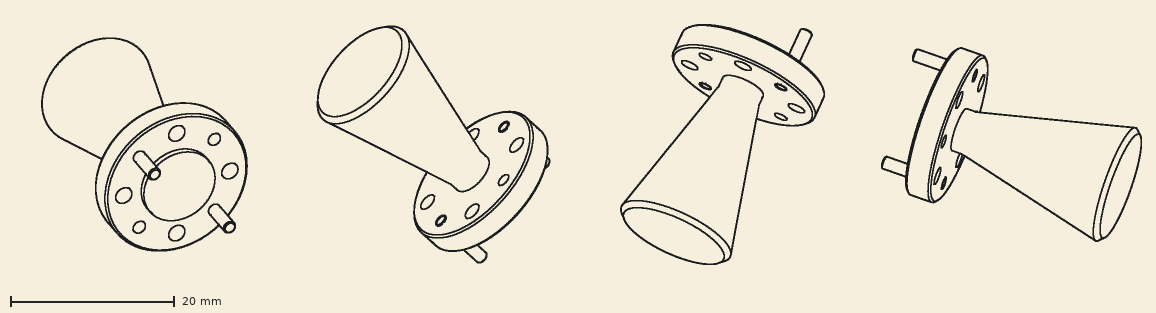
import cadquery as cq
import math

total_length = 29.27
neck_start = 20.02
flange_start = 21.3
flange_thickness = 3.3
boss_height = 0.8

cone_face_radius = 6.73
cone_rim_radius = 7.35
cone_rim_depth = 0.65
neck_radius = 2.72
flange_diameter = 19.05
flange_radius = flange_diameter / 2
flange_chamfer = 0.25
boss_radius = 4.77

pitch_radius = 7.1
bolt_hole_radius = 1.08
open_hole_radius = 0.82
pin_radius = 0.8
pin_chamfer = 0.15
bolt_angles = [0, 90, 180, 270]
pin_angles = [135, 315]
open_hole_angles = [45, 225]

flange_end = flange_start + flange_thickness


def pitch_point(angle):
    """(Y, Z) position on the pitch circle, with the angle taken from +Y toward +Z."""
    radians = math.radians(angle)
    return (pitch_radius * math.cos(radians), pitch_radius * math.sin(radians))


def rod(radius, angle, start, end):
    """Cylinder along X, centred on the pitch circle."""
    y, z = pitch_point(angle)
    return cq.Workplane("YZ", origin=(start, y, z)).circle(radius).extrude(end - start)


def make_horn():
    """Cone, neck, flange and boss turned about the X axis, drilled through the flange."""
    profile = [
        (0, 0),
        (0, cone_face_radius),
        (cone_rim_depth, cone_rim_radius),
        (neck_start, neck_radius),
        (flange_start, neck_radius),
        (flange_start, flange_radius - flange_chamfer),
        (flange_start + flange_chamfer, flange_radius),
        (flange_end - flange_chamfer, flange_radius),
        (flange_end, flange_radius - flange_chamfer),
        (flange_end, boss_radius),
        (flange_end + boss_height, boss_radius),
        (flange_end + boss_height, 0),
    ]
    body = cq.Workplane("XY").polyline(profile).close().revolve(360, (0, 0, 0), (1, 0, 0))
    for angle in bolt_angles:
        body = body.cut(rod(bolt_hole_radius, angle, flange_start, flange_end))
    for angle in open_hole_angles:
        body = body.cut(rod(open_hole_radius, angle, flange_start, flange_end))
    for angle in pin_angles:
        body = body.cut(rod(pin_radius, angle, flange_start, flange_end))
    return body


def make_pin(angle):
    """Dowel pin flush with the cone side of the flange, chamfered at both ends."""
    return rod(pin_radius, angle, flange_start, total_length).faces("<X or >X").chamfer(pin_chamfer)


horn = make_horn()
pins = [make_pin(angle) for angle in pin_angles]

result = cq.Compound.makeCompound([horn.val(), *[pin.val() for pin in pins]])